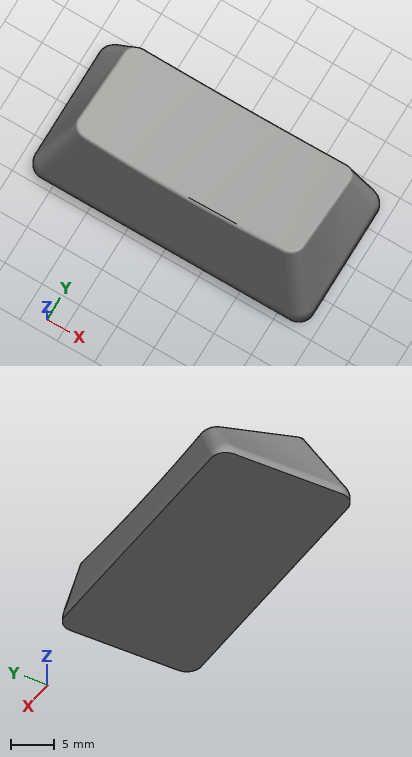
import math

import cadquery as cq

length = 37.21
width = 18.16
skirt_height = 1.0

front_lean = 24.6
back_lean = 5.0

top_length = 30.1
top_tilt = 15.2
top_height = 8.6

dish_radius = 185.0
dish_height = 7.92

wall_edge_radius = 1.9
top_edge_radius = 0.35

top_slope = math.tan(math.radians(top_tilt))
front_slope = math.tan(math.radians(front_lean))
back_slope = math.tan(math.radians(back_lean))
wall_rise = top_height - skirt_height
front_y = (wall_rise * front_slope - width / 2) / (1 + top_slope * front_slope)
back_y = (width / 2 - wall_rise * back_slope) / (1 - top_slope * back_slope)
front_z = top_height - front_y * top_slope
back_z = top_height - back_y * top_slope


def wall_blank():
    """Straight skirt under four sloping walls; the end walls twist to meet the tilted top."""
    skirt = cq.Workplane("XY").box(length, width, skirt_height, centered=(True, True, False))

    base_outline = cq.Workplane("XY").workplane(offset=skirt_height).rect(length, width)
    top_center = cq.Vector(0, (front_y + back_y) / 2, (front_z + back_z) / 2)
    top_depth = math.hypot(back_y - front_y, back_z - front_z)
    walls = (
        base_outline.workplane(offset=top_center.z - skirt_height)
        .center(0, top_center.y)
        .transformed(rotate=(-top_tilt, 0, 0))
        .rect(top_length, top_depth)
        .loft(ruled=True)
    )
    return skirt.union(walls)


def wall_edges():
    """Selector for the corner edges and the bend, leaving out the base and top edges."""
    margin = 0.1
    return cq.selectors.BoxSelector(
        (-length, -width, margin),
        (length, width, back_z - margin),
    )


def dish_cutter():
    """Cylinder tilted with the top, curving it across the length of the key."""
    half_span = 2 * width
    cylinder = cq.Workplane("XZ").circle(dish_radius).extrude(half_span, both=True)
    return (
        cylinder.translate((0, 0, dish_radius))
        .rotate((0, 0, 0), (1, 0, 0), -top_tilt)
        .translate((0, 0, dish_height))
    )


def keycap():
    body = wall_blank().edges(wall_edges()).fillet(wall_edge_radius)
    body = body.cut(dish_cutter())
    return body.faces(">Z").edges().fillet(top_edge_radius)


result = keycap()